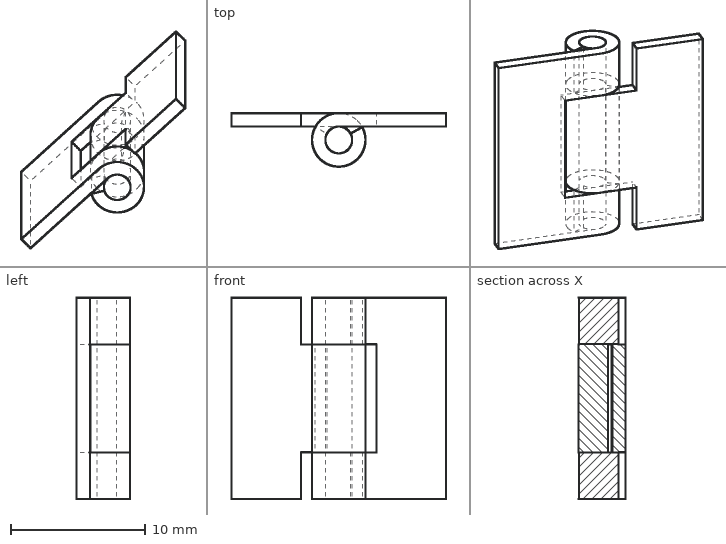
import cadquery as cq
import math

hinge_width = 16.0
hinge_height = 15.0
knuckle_diameter = 4.0
middle_knuckle_height = 8.05
knuckle_clearance = 0.8
curl_end_angle = 28.5

knuckle_radius = knuckle_diameter / 2
pin_radius = knuckle_radius / 2
sheet_thickness = knuckle_radius - pin_radius
half_width = hinge_width / 2
half_height = hinge_height / 2
half_middle = middle_knuckle_height / 2
notch_edge = knuckle_radius + knuckle_clearance


def polar_point(radius, angle):
    """Point in the XY plane at an angle in degrees about the pin axis."""
    return (radius * math.cos(math.radians(angle)), radius * math.sin(math.radians(angle)))


def rolled_strip(bottom, top):
    """Flat sheet towards +X whose inner end curls around the pin."""
    return (
        cq.Workplane("XY")
        .workplane(offset=bottom)
        .moveTo(half_width, knuckle_radius)
        .lineTo(0, knuckle_radius)
        .threePointArc((0, -knuckle_radius), polar_point(knuckle_radius, curl_end_angle))
        .lineTo(*polar_point(pin_radius, curl_end_angle))
        .threePointArc((0, -pin_radius), (0, pin_radius))
        .lineTo(half_width, pin_radius)
        .close()
        .extrude(top - bottom)
    )


def flat_plate():
    """Full-height part of a leaf, outside the opposite leaf's knuckles."""
    return cq.Workplane("XY").box(
        half_width - notch_edge, sheet_thickness, hinge_height, centered=(False, False, True)
    ).translate((notch_edge, pin_radius, 0))


def make_outer_leaf():
    """Leaf on the +X side, with a knuckle at each end of the pin."""
    lower_strip = rolled_strip(-half_height, -half_middle)
    upper_strip = rolled_strip(half_middle, half_height)
    return flat_plate().union(lower_strip).union(upper_strip)


def make_middle_leaf():
    """Leaf on the -X side, with one knuckle at mid-height."""
    leaf = flat_plate().union(rolled_strip(-half_middle, half_middle))
    return leaf.mirror("YZ")


def make_pin():
    """Plain pin, flush with both ends of the outer knuckles."""
    return cq.Workplane("XY").workplane(offset=-half_height).circle(pin_radius).extrude(hinge_height)


outer_leaf = make_outer_leaf()
middle_leaf = make_middle_leaf()
pin = make_pin()

result = cq.Compound.makeCompound([outer_leaf.val(), middle_leaf.val(), pin.val()])